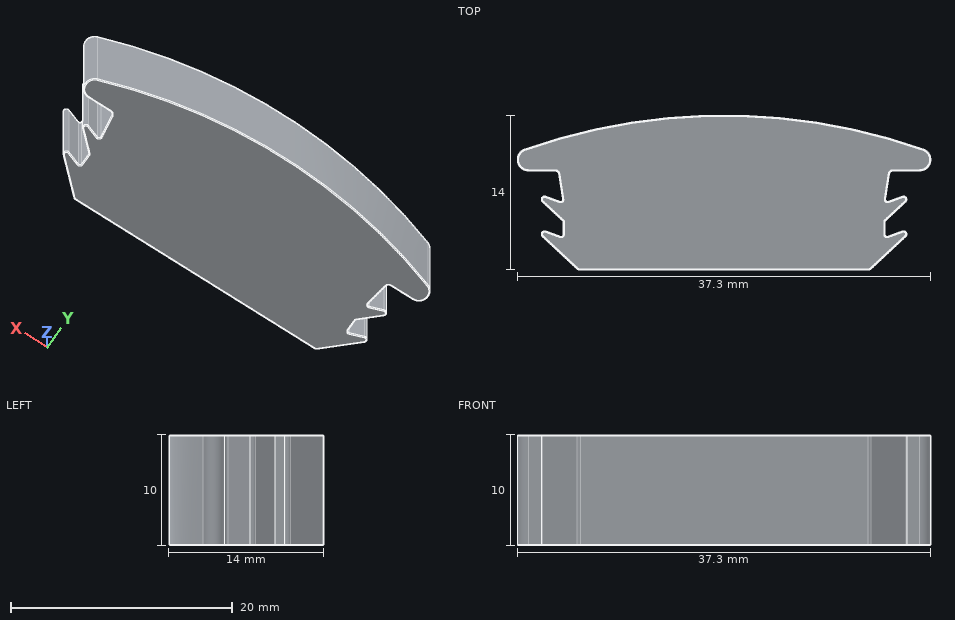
import cadquery as cq
import math

width = 37.3
depth = 14.0
height = 10.0
half_width = width / 2

wing_underside_y = 8.95
wing_end_radius = 1.0

wall_x = -14.5
wall_top_x = -14.95
wing_corner_radius = 0.35

barb_outer_x = -16.5
barb_tip_radius = 0.3
upper_barb_y = 6.38
barb_pitch = 3.15
barb_top_angle = math.radians(20)
barb_underside_angle = math.radians(43)
barb_root_radius = 0.2

base_corner_radius = 0.45

edge_chamfer = 0.1

wing_center_x = -half_width + wing_end_radius
wing_center_y = wing_underside_y + wing_end_radius
wing_center_drop = depth - wing_center_y
crown_radius = (wing_center_x**2 + wing_center_drop**2 - wing_end_radius**2) / (
    2 * (wing_center_drop - wing_end_radius)
)
crown_center_y = depth - crown_radius


def crown_point(angle):
    """Point on the crown, with the angle measured from +Y toward -X."""
    return (-crown_radius * math.sin(angle), crown_center_y + crown_radius * math.cos(angle))


def barb_apex(tip_y):
    """Sharp corner that becomes a barb tip rounded about the height tip_y."""
    bisector = (barb_top_angle + barb_underside_angle) / 2
    half_wedge = (barb_underside_angle - barb_top_angle) / 2
    reach = barb_tip_radius / math.sin(half_wedge)
    tip_x = barb_outer_x + barb_tip_radius
    return (tip_x - reach * math.cos(bisector), tip_y + reach * math.sin(bisector))


def wall_hit(apex, angle):
    """Point where a barb flank falling from the apex meets the side wall."""
    return (wall_x, apex[1] - (wall_x - apex[0]) * math.tan(angle))


crown_end_angle = math.asin(-wing_center_x / (crown_radius - wing_end_radius))
wing_end_start = crown_point(crown_end_angle)
wing_end_middle = (-half_width, wing_center_y)
wing_end_finish = (wing_center_x, wing_underside_y)
wing_corner = (wall_top_x, wing_underside_y)
upper_apex = barb_apex(upper_barb_y)
lower_apex = barb_apex(upper_barb_y - barb_pitch)
upper_root = wall_hit(upper_apex, barb_top_angle)
between_barbs = wall_hit(upper_apex, barb_underside_angle)
lower_root = wall_hit(lower_apex, barb_top_angle)
base_corner = (lower_apex[0] + lower_apex[1] / math.tan(barb_underside_angle), 0)

half_body = (
    cq.Workplane("XY")
    .moveTo(0, depth)
    .threePointArc(crown_point(crown_end_angle / 2), wing_end_start)
    .threePointArc(wing_end_middle, wing_end_finish)
    .lineTo(*wing_corner)
    .lineTo(*upper_root)
    .lineTo(*upper_apex)
    .lineTo(*between_barbs)
    .lineTo(*lower_root)
    .lineTo(*lower_apex)
    .lineTo(*base_corner)
    .lineTo(0, 0)
    .close()
    .extrude(height)
)

rounded_corners = [
    (wing_corner, wing_corner_radius),
    (upper_root, barb_root_radius),
    (upper_apex, barb_tip_radius),
    (lower_root, barb_root_radius),
    (lower_apex, barb_tip_radius),
    (base_corner, base_corner_radius),
]
for (corner_x, corner_y), radius in rounded_corners:
    edge_middle = cq.NearestToPointSelector((corner_x, corner_y, height / 2))
    half_body = half_body.edges(edge_middle).fillet(radius)

whole_body = half_body.union(half_body.mirror("YZ")).clean()

result = whole_body.faces("<Z or >Z").edges().chamfer(edge_chamfer)